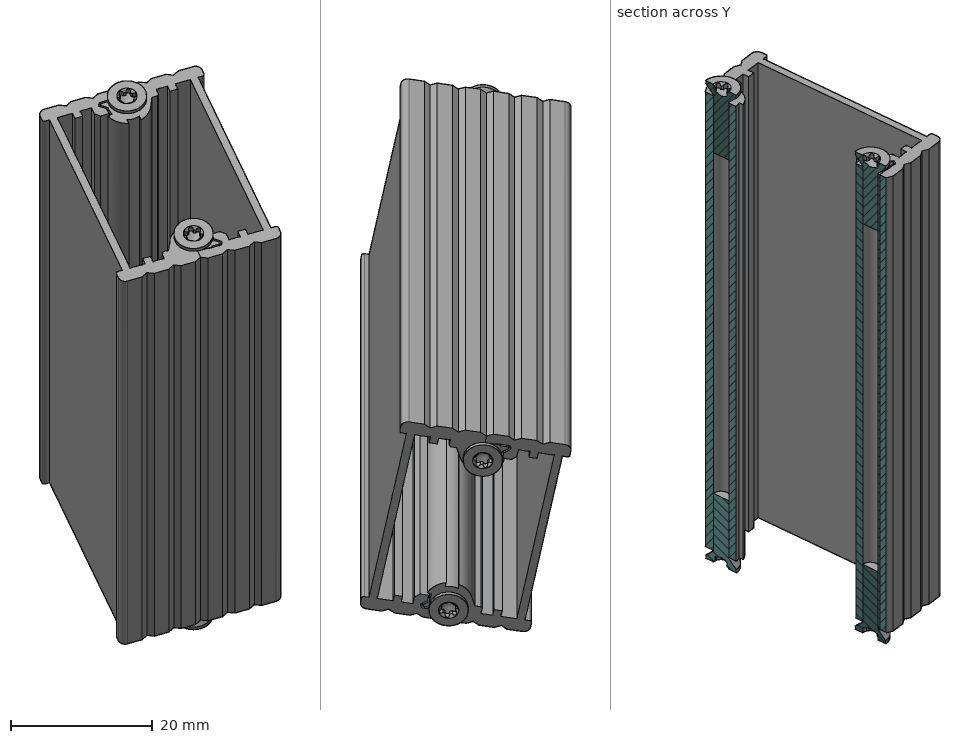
import cadquery as cq
import math

overall_length = 84.0
width = 33.6
depth = 24.4
head_height = 2.0
shell_length = overall_length - 2 * head_height
shell_bottom = -shell_length / 2

wall = 2.1
plate_thickness = 1.2
plate_setback = 1.0
corner_radius = 1.0
lip_edge_radius = 0.3
wall_inner_x = width / 2 - wall
plate_outer_y = depth / 2 - plate_setback
plate_inner_y = plate_outer_y - plate_thickness

groove_pitch = 4.0
groove_width = 1.85
groove_depth = 0.5
grooves_per_half = 3

rib_y = 7.1
rib_thickness = 1.2
rib_height = 1.0

screw_x = 13.4
shank_diameter = 2.7
channel_radius = 2.7
lobe_radius = 3.4
lobe_gap = 1.85
lobe_end_angle = math.radians(-73)
seat_offset = 1.7
shoulder_y = 4.9
shoulder_height = 1.2
shoulder_root_y = 3.8
shoulder_bevel = 0.25
shoulder_tangent_angle = math.radians(62)
tongue_outline = [(-1.5, -1.7), (-1.5, -3.4), (-1.3, -3.5), (-0.3, -2.5)]
latch_clearance = 0.25
hook_reach = 0.6
hook_bevel = 0.7

head_diameter = 5.55
head_cone_height = (head_diameter - shank_diameter) / 2
shank_length = 10.1
recess_depth = 0.9
recess_point_depth = 0.5
recess_core_radius = 1.0
recess_lobe_count = 6
recess_lobe_radius = 0.3
recess_lobe_circle = 1.0
recess_mouth_radius = 1.4
recess_mouth_depth = recess_mouth_radius - recess_core_radius


def extrude_outline(points):
    """Full-length bar with a polygon cross section."""
    return cq.Workplane("XY", origin=(0, 0, shell_bottom)).polyline(points).close().extrude(shell_length)


def bar(x_min, x_max, y_min, y_max):
    """Full-length bar with a rectangular cross section."""
    return extrude_outline([(x_min, y_min), (x_max, y_min), (x_max, y_max), (x_min, y_max)])


def rod(radius):
    """Full-length cylinder on the screw axis of the left wall."""
    return cq.Workplane("XY", origin=(-screw_x, 0, shell_bottom)).circle(radius).extrude(shell_length)


def about_screw(points):
    """Shift points given from the left screw axis into the part axes."""
    return [(x - screw_x, y) for x, y in points]


def polar(radius, angle):
    return radius * math.cos(angle), radius * math.sin(angle)


def turned(shape):
    """The shape after a half turn about Z, which carries one half shell onto the other."""
    return shape.rotate((0, 0, 0), (0, 0, 1), 180)


def left_side_wall():
    """Left wall of the +Y half, with a card guide rib and both corners of its end rounded."""
    side = bar(-width / 2, -wall_inner_x, 0, depth / 2)
    side = side.edges("|Z and <X and >Y").fillet(corner_radius)
    side = side.edges("|Z and >X and >Y").fillet(lip_edge_radius)
    rib = bar(-wall_inner_x, -wall_inner_x + rib_height, rib_y - rib_thickness / 2, rib_y + rib_thickness / 2)
    return side.union(rib)


def groove_cutters():
    """V grooves of both side walls; the first pair is centred on the parting plane."""
    cutters = cq.Workplane("XY")
    for index in range(grooves_per_half):
        y = index * groove_pitch
        groove = extrude_outline([
            (-width / 2, y - groove_width / 2),
            (-width / 2 + groove_depth, y),
            (-width / 2, y + groove_width / 2),
        ])
        cutters = cutters.union(groove).union(groove.mirror("YZ"))
    return cutters


def tongue(clearance=0.0):
    """Latch tongue on the outside of the screw channel, optionally grown by a clearance."""
    section = cq.Workplane("XY", origin=(0, 0, shell_bottom)).polyline(about_screw(tongue_outline)).close()
    if clearance:
        section = section.offset2D(clearance)
    return section.extrude(shell_length)


def channel_core():
    """Round channel body, flattened where it seats against the wall of the other half."""
    seat_side = bar(-screw_x - seat_offset, 0, -channel_radius, channel_radius)
    return rod(channel_radius).intersect(seat_side)


def screw_channel():
    """Channel core with its shoulder, two lobes on its inner side, and the latch tongue."""
    outer = 2 * lobe_radius
    lobe_limit = extrude_outline(about_screw([
        (0, 0),
        polar(outer, lobe_end_angle),
        (outer, -outer),
        (outer, outer),
        (0, outer),
    ]))
    gap = bar(-screw_x, 0, -lobe_gap / 2, lobe_gap / 2)
    lobes = rod(lobe_radius).intersect(lobe_limit).cut(gap)
    shoulder_x = -wall_inner_x + shoulder_height
    tangent_point = about_screw([polar(lobe_radius, shoulder_tangent_angle)])[0]
    shoulder = extrude_outline([
        (-wall_inner_x, 0),
        (-screw_x, 0),
        tangent_point,
        (shoulder_x, shoulder_root_y),
        (shoulder_x, shoulder_y - shoulder_bevel),
        (shoulder_x - shoulder_bevel, shoulder_y),
        (-wall_inner_x, shoulder_y),
    ])
    return channel_core().union(lobes).union(shoulder).union(tongue())


def latch_hook():
    """Block on the left wall of the -Y half; it reaches behind the tongue of the other half."""
    hook_x = -screw_x + hook_reach
    return extrude_outline([
        (-wall_inner_x, 0),
        (hook_x, 0),
        (hook_x, hook_bevel - shoulder_y),
        (hook_x - hook_bevel, -shoulder_y),
        (-wall_inner_x, -shoulder_y),
    ])


def latch_pocket():
    """Room for the mating channel and tongue: snug in the wall, with clearance at the hook."""
    snug = channel_core()
    hook_side = bar(-wall_inner_x, 0, -shoulder_y, 0)
    clear = rod(channel_radius + latch_clearance).intersect(hook_side)
    return snug.union(clear).union(tongue(latch_clearance))


def make_half_shell():
    """The +Y half: plate, two side walls, channel on the left and latch hook on the right."""
    plate = bar(-wall_inner_x, wall_inner_x, plate_inner_y, plate_outer_y)
    left = left_side_wall().union(screw_channel()).cut(rod(shank_diameter / 2))
    right = left_side_wall().mirror("YZ").union(turned(latch_hook())).cut(turned(latch_pocket()))
    return plate.union(left).union(right).cut(groove_cutters())


def revolved(profile):
    """Solid of revolution about Z from (radius, z) points."""
    return cq.Workplane("XZ").polyline(profile).close().revolve(360, (0, 0), (0, 1))


def star_recess():
    """Six-lobed socket with a conical floor and a countersunk mouth, sunk from z = 0."""
    full_depth = recess_depth + recess_point_depth
    core = cq.Workplane("XY").circle(recess_core_radius).extrude(-full_depth)
    lobe_points = cq.Workplane("XY").polarArray(recess_lobe_circle, 0, 360, recess_lobe_count)
    lobes = lobe_points.circle(recess_lobe_radius).extrude(-full_depth)
    envelope = revolved([
        (0, 0),
        (recess_mouth_radius, 0),
        (recess_mouth_radius, -recess_depth),
        (0, -full_depth),
    ])
    mouth = revolved([
        (0, 0),
        (recess_mouth_radius, 0),
        (recess_core_radius, -recess_mouth_depth),
        (0, -recess_mouth_depth),
    ])
    return core.union(lobes).intersect(envelope).union(mouth)


def make_screw():
    """Countersunk screw along Z with the top of its head at z = 0."""
    head_radius = head_diameter / 2
    shank_radius = shank_diameter / 2
    shank_end = -head_height - shank_length
    body = revolved([
        (0, 0),
        (head_radius, 0),
        (head_radius, head_cone_height - head_height),
        (shank_radius, -head_height),
        (shank_radius, shank_end),
        (0, shank_end),
    ])
    return body.cut(star_recess())


def place_screws():
    """One screw in each end of both channels; the left pair is turned by half a lobe."""
    half_lobe_turn = 180 / recess_lobe_count
    screw = make_screw()
    placed = []
    for x, turn in ((-screw_x, half_lobe_turn), (screw_x, 0)):
        top_screw = screw.rotate((0, 0, 0), (0, 0, 1), turn).translate((x, 0, overall_length / 2))
        placed.append(top_screw.val())
        placed.append(top_screw.mirror("XY").val())
    return placed


rear_shell = make_half_shell()
front_shell = turned(rear_shell)
screws = place_screws()

result = cq.Compound.makeCompound([rear_shell.val(), front_shell.val(), *screws])